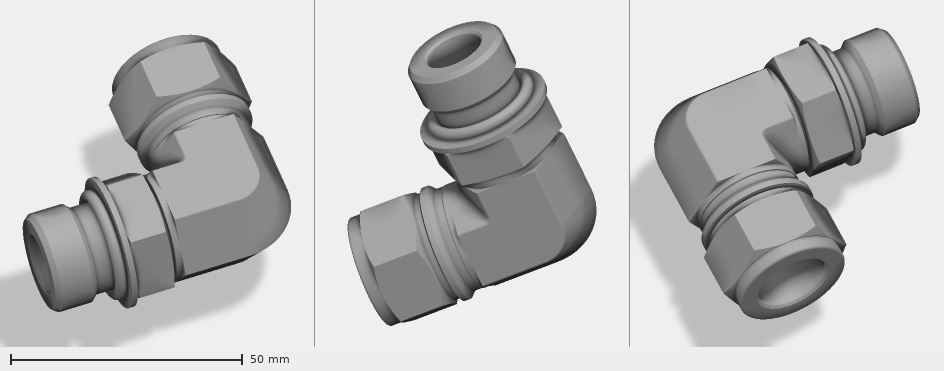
import cadquery as cq
import math


OVERALL_LENGTH = 58.05

HEX_RATIO = math.cos(math.radians(30))
HEX_CORNER_DIAMETER = 29.3
HEX_ACROSS_FLATS = HEX_CORNER_DIAMETER * HEX_RATIO
NUT_TURN = 90.0
NUT_CHAMFER_ANGLE = 60.0
LOCKNUT_CHAMFER_ANGLE = 75.0
LOCKNUT_TURN = -8.3

ELBOW_ACROSS_FLATS = 23.8
ELBOW_LEG = 14.75
ELBOW_EDGE_FILLET = 0.6
ELBOW_INNER_FILLET = 1.45
COLLAR_LENGTH = 1.4
TOLERANCE = 0.005

TUBE_END = 38.4
TUBE_LIP_DIAMETER = 25.0
TUBE_LIP_FILLET = 0.6
NUT_HEX_OUTER = 35.35
NUT_HEX_INNER = 22.8
NUT_RING_DIAMETER = 24.3
NUT_END = 21.4
TUBE_THREAD_DIAMETER = 22.2
FLANGE_DIAMETER = 26.1
FLANGE_OUTER = 20.95
FLANGE_INNER = 19.6
NECK_DIAMETER = 23.5
NECK_START = 18.3
RELIEF_DIAMETER = 23.05
RELIEF_WIDTH = 0.3
TUBE_BORE_DIAMETER = 16.1

STEM_END = OVERALL_LENGTH - HEX_CORNER_DIAMETER / 2
STEM_DIAMETER = 19.6
STEM_THREAD_DIAMETER = 22.25
STEM_THREAD_START = 33.55
STEM_TIP_DIAMETER = 20.4
STEM_TIP_LENGTH = 1.15
LOCKNUT_TOP = 17.05
LOCKNUT_BOTTOM = 26.1
LOCKNUT_FACE_DIAMETER = 25.55
WASHER_DIAMETER = 29.3
WASHER_THICKNESS = 1.35
STEM_BORE_DIAMETER = 12.7

BORE_CHAMFER = 0.5

ORING_SECTION = 2.55

COLLAR_END = ELBOW_LEG + COLLAR_LENGTH
ELBOW_HALF = ELBOW_ACROSS_FLATS / 2
ELBOW_CORNER = ELBOW_HALF / HEX_RATIO
ELBOW_FLAT = ELBOW_CORNER / 2
ELBOW_TOUCH = ELBOW_HALF * HEX_RATIO
WASHER_FACE = LOCKNUT_BOTTOM + WASHER_THICKNESS


def turned(profile):
    """Revolve (distance, diameter) points about the Z axis, distance running along +Z."""
    first, last = profile[0][0], profile[-1][0]
    points = [(0, first)] + [(diameter / 2, distance) for distance, diameter in profile] + [(0, last)]
    return cq.Workplane("XZ").polyline(points).close().revolve(360, (0, 0, 0), (0, 1, 0))


def along_tube(shape):
    """Lay a shape built along +Z onto the tube axis, pointing to -X."""
    return shape.rotate((0, 0, 0), (0, 1, 0), -90)


def along_stem(shape):
    """Lay a shape built along +Z onto the stem axis, pointing to -Y."""
    return shape.rotate((0, 0, 0), (1, 0, 0), 90)


def chamfered_hexagon(start, end, start_diameter, end_diameter, chamfer_angle, turn):
    """Hexagon along Z whose corners are cut by a cone at each end."""
    prism = cq.Workplane("XY").workplane(offset=start).polygon(6, HEX_CORNER_DIAMETER).extrude(end - start)
    prism = prism.rotate((0, 0, 0), (0, 0, 1), turn)
    slope = 2 * math.tan(math.radians(chamfer_angle))
    envelope = turned([
        (start, start_diameter),
        (start + (HEX_CORNER_DIAMETER - start_diameter) / slope, HEX_CORNER_DIAMETER),
        (end - (HEX_CORNER_DIAMETER - end_diameter) / slope, HEX_CORNER_DIAMETER),
        (end, end_diameter),
    ])
    return prism.intersect(envelope)


def elbow_leg(plane):
    """Leg outline on a plane whose local -X points to the inside of the bend.

    It is a hexagon, cut off on the inside where its flats touch the round collar.
    """
    return (
        cq.Workplane(plane)
        .moveTo(-ELBOW_TOUCH, ELBOW_HALF / 2)
        .lineTo(-ELBOW_FLAT, ELBOW_HALF)
        .lineTo(ELBOW_FLAT, ELBOW_HALF)
        .lineTo(ELBOW_CORNER, 0)
        .lineTo(ELBOW_FLAT, -ELBOW_HALF)
        .lineTo(-ELBOW_FLAT, -ELBOW_HALF)
        .lineTo(-ELBOW_TOUCH, -ELBOW_HALF / 2)
        .close()
    )


def elbow_bend():
    """Outer half of the hexagon swept a quarter turn about Z."""
    return (
        cq.Workplane("XZ")
        .moveTo(0, -ELBOW_HALF)
        .lineTo(ELBOW_FLAT, -ELBOW_HALF)
        .lineTo(ELBOW_CORNER, 0)
        .lineTo(ELBOW_FLAT, ELBOW_HALF)
        .lineTo(0, ELBOW_HALF)
        .close()
        .revolve(90, (0, 0, 0), (0, 1, 0))
    )


def elbow():
    """Two hexagonal legs with round collars, joined by a bend, with rounded edges."""
    collar = turned([(0, ELBOW_ACROSS_FLATS), (COLLAR_END, ELBOW_ACROSS_FLATS)])
    tube_leg = elbow_leg("YZ").extrude(-ELBOW_LEG).union(along_tube(collar))
    stem_leg = elbow_leg("XZ").extrude(ELBOW_LEG).union(along_stem(collar))
    block = tube_leg.union(stem_leg).union(elbow_bend())

    inner_corner = [
        edge for edge in block.edges().vals()
        if edge.Center().x < 0 and math.isclose(edge.Center().x, edge.Center().y, abs_tol=TOLERANCE)
    ]
    block = block.newObject(inner_corner).fillet(ELBOW_INNER_FILLET)

    flat_edges = [
        edge for edge in block.faces("|Z").edges().vals()
        if min(edge.Center().x, edge.Center().y) > -ELBOW_LEG + TOLERANCE
    ]
    return block.newObject(flat_edges).fillet(ELBOW_EDGE_FILLET)


def tube_end():
    """Neck, flange, exposed thread and tube nut, from the elbow collar outwards."""
    lip = turned([(NUT_HEX_OUTER, TUBE_LIP_DIAMETER), (TUBE_END, TUBE_LIP_DIAMETER)])
    lip = lip.faces(">Z").edges().fillet(TUBE_LIP_FILLET)
    hexagon = chamfered_hexagon(
        NUT_HEX_INNER, NUT_HEX_OUTER, NUT_RING_DIAMETER, HEX_ACROSS_FLATS, NUT_CHAMFER_ANGLE, NUT_TURN
    )
    rings = turned([
        (COLLAR_END, RELIEF_DIAMETER),
        (COLLAR_END + RELIEF_WIDTH, RELIEF_DIAMETER),
        (COLLAR_END + RELIEF_WIDTH, NECK_DIAMETER),
        (NECK_START, NECK_DIAMETER),
        (FLANGE_INNER, FLANGE_DIAMETER),
        (FLANGE_OUTER, FLANGE_DIAMETER),
        (FLANGE_OUTER, TUBE_THREAD_DIAMETER),
        (NUT_END, TUBE_THREAD_DIAMETER),
        (NUT_END, NUT_RING_DIAMETER),
        (NUT_HEX_INNER, NUT_RING_DIAMETER),
    ])
    return along_tube(rings.union(hexagon).union(lip))


def stem():
    """Stem with its washer, locknut and threaded tip."""
    cone = (STEM_THREAD_DIAMETER - STEM_DIAMETER) / 2
    shaft = turned([
        (COLLAR_END, STEM_DIAMETER),
        (LOCKNUT_BOTTOM, STEM_DIAMETER),
        (LOCKNUT_BOTTOM, WASHER_DIAMETER),
        (WASHER_FACE, WASHER_DIAMETER),
        (WASHER_FACE, STEM_DIAMETER),
        (STEM_THREAD_START, STEM_DIAMETER),
        (STEM_THREAD_START + cone, STEM_THREAD_DIAMETER),
        (STEM_END - STEM_TIP_LENGTH, STEM_THREAD_DIAMETER),
        (STEM_END, STEM_TIP_DIAMETER),
    ])
    locknut = chamfered_hexagon(
        LOCKNUT_TOP, LOCKNUT_BOTTOM, LOCKNUT_FACE_DIAMETER, LOCKNUT_FACE_DIAMETER,
        LOCKNUT_CHAMFER_ANGLE, LOCKNUT_TURN,
    )
    return along_stem(shaft.union(locknut))


def blind_bore(diameter, mouth):
    """Bore with a chamfered mouth that ends at the elbow's end face."""
    return turned([
        (ELBOW_LEG, diameter),
        (mouth - BORE_CHAMFER, diameter),
        (mouth, diameter + 2 * BORE_CHAMFER),
    ])


def make_fitting():
    """Elbow, tube end and stem as one solid with a blind bore from each end."""
    fitting = elbow().union(tube_end()).union(stem())
    fitting = fitting.cut(along_tube(blind_bore(TUBE_BORE_DIAMETER, TUBE_END)))
    return fitting.cut(along_stem(blind_bore(STEM_BORE_DIAMETER, STEM_END)))


def make_oring():
    """O-ring resting on the stem and against the washer."""
    centre_radius = (STEM_DIAMETER + ORING_SECTION) / 2
    ring = (
        cq.Workplane("XZ")
        .center(centre_radius, WASHER_FACE + ORING_SECTION / 2)
        .circle(ORING_SECTION / 2)
        .revolve(360, (-centre_radius, 0, 0), (-centre_radius, 1, 0))
    )
    return along_stem(ring)


fitting = make_fitting()
oring = make_oring()
result = cq.Compound.makeCompound([fitting.val(), oring.val()])